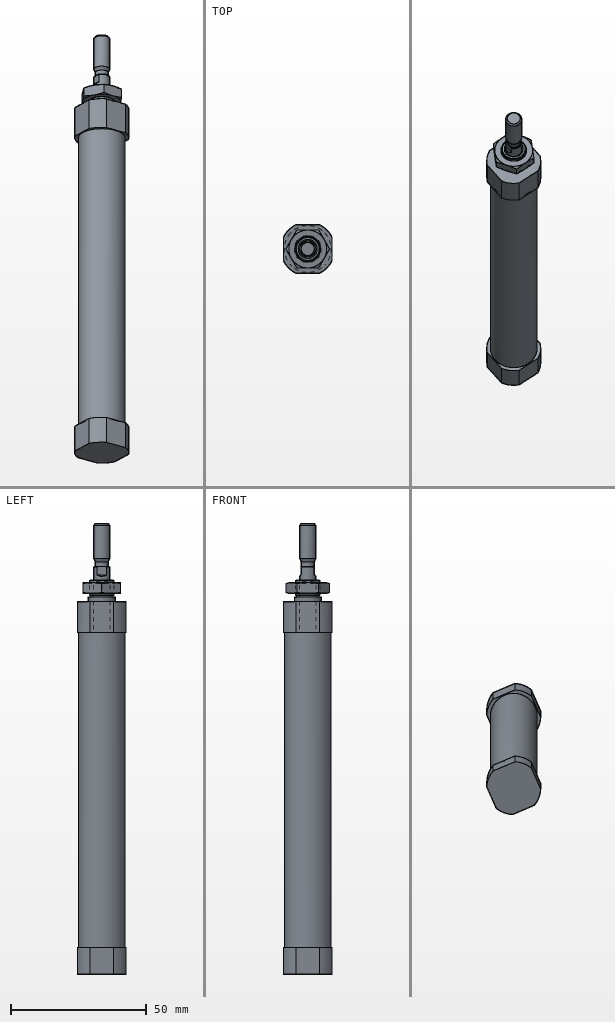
import cadquery as cq

TOTAL_HEIGHT = 166.1

CAP_WIDTH = 18.0
CAP_CORNER_DIAMETER = 20.0
REAR_CAP_HEIGHT = 10.0
FRONT_CAP_HEIGHT = 11.5
FRONT_CAP_TOP = 137.4
FRONT_CAP_BOTTOM = FRONT_CAP_TOP - FRONT_CAP_HEIGHT
BARREL_DIAMETER = 17.3

COLLAR_DIAMETER = 10.0
COLLAR_TOP = 139.0
NOSE_DIAMETER = 9.0
NOSE_TOP = 145.3
NOSE_CHAMFER = 0.25
RELIEF_DIAMETER = 8.5
RELIEF_HEIGHT = 0.5
ROD_COUNTERSINK_DIAMETER = 7.0

NUT_ACROSS_FLATS = 14.0
NUT_TURN = 30
NUT_THICKNESS = 4.0
NUT_BOTTOM = 140.4
NUT_FACE_DIAMETER = 14.0
NUT_CHAMFER_SLOPE = 0.36
NUT_COUNTERSINK_DIAMETER = 9.5

ROD_DIAMETER = 6.0
ROD_BOTTOM = FRONT_CAP_BOTTOM
ROD_TIP_DIAMETER = 4.8
ROD_TIP_CHAMFER_HEIGHT = 0.7
THREAD_BOTTOM = 153.3
NECK_DIAMETER = 4.8
NECK_TOP = 152.0
NECK_BOTTOM = 150.3
WRENCH_FLAT_WIDTH = 4.8
WRENCH_FLAT_BOTTOM = 146.7
NECK_EDGE_CHAMFER = 0.25


def cylinder(diameter, bottom, top):
    return cq.Workplane("XY").workplane(offset=bottom).circle(diameter / 2).extrude(top - bottom)


def revolved(profile):
    """Revolve (diameter, height) points, listed bottom to top, about the Z axis."""
    points = [(diameter / 2, height) for diameter, height in profile]
    outline = [(0, points[0][1])] + points + [(0, points[-1][1])]
    return cq.Workplane("XZ").polyline(outline).close().revolve(360, (0, 0), (0, 1))


def make_cap(bottom, height):
    """Square block whose corners are rounded about the cylinder axis."""
    block = cq.Workplane("XY").workplane(offset=bottom).rect(CAP_WIDTH, CAP_WIDTH).extrude(height)
    return block.intersect(cylinder(CAP_CORNER_DIAMETER, bottom, bottom + height))


def make_nose():
    """Collar, thread relief and chamfered threaded length that carry the nut."""
    relief_top = COLLAR_TOP + RELIEF_HEIGHT
    return revolved([
        (COLLAR_DIAMETER, FRONT_CAP_TOP),
        (COLLAR_DIAMETER, COLLAR_TOP),
        (RELIEF_DIAMETER, COLLAR_TOP),
        (RELIEF_DIAMETER, relief_top),
        (NOSE_DIAMETER, relief_top + (NOSE_DIAMETER - RELIEF_DIAMETER) / 2),
        (NOSE_DIAMETER, NOSE_TOP - NOSE_CHAMFER),
        (NOSE_DIAMETER - 2 * NOSE_CHAMFER, NOSE_TOP),
    ])


def make_housing():
    barrel = cylinder(BARREL_DIAMETER, REAR_CAP_HEIGHT, FRONT_CAP_BOTTOM)
    rear_cap = make_cap(0, REAR_CAP_HEIGHT)
    front_cap = make_cap(FRONT_CAP_BOTTOM, FRONT_CAP_HEIGHT)
    body = barrel.union(rear_cap).union(front_cap).union(make_nose())
    countersink_depth = (ROD_COUNTERSINK_DIAMETER - ROD_DIAMETER) / 2
    rod_bore = revolved([
        (ROD_DIAMETER, ROD_BOTTOM),
        (ROD_DIAMETER, NOSE_TOP - countersink_depth),
        (ROD_COUNTERSINK_DIAMETER, NOSE_TOP),
    ])
    return body.cut(rod_bore)


def make_nut():
    """Hexagon with corners along X, both faces chamfered by a cone."""
    nut_top = NUT_BOTTOM + NUT_THICKNESS
    hexagon = (
        cq.Workplane("XY")
        .workplane(offset=NUT_BOTTOM)
        .polygon(6, NUT_ACROSS_FLATS, circumscribed=True)
        .extrude(NUT_THICKNESS)
        .rotate((0, 0, 0), (0, 0, 1), NUT_TURN)
    )
    cone_rise = NUT_THICKNESS / 2
    cone_diameter = NUT_FACE_DIAMETER + 2 * cone_rise / NUT_CHAMFER_SLOPE
    chamfer_envelope = revolved([
        (NUT_FACE_DIAMETER, NUT_BOTTOM),
        (cone_diameter, NUT_BOTTOM + cone_rise),
        (NUT_FACE_DIAMETER, nut_top),
    ])
    countersink_depth = (NUT_COUNTERSINK_DIAMETER - NOSE_DIAMETER) / 2
    bore = revolved([
        (NUT_COUNTERSINK_DIAMETER, NUT_BOTTOM),
        (NOSE_DIAMETER, NUT_BOTTOM + countersink_depth),
        (NOSE_DIAMETER, nut_top - countersink_depth),
        (NUT_COUNTERSINK_DIAMETER, nut_top),
    ])
    return hexagon.intersect(chamfer_envelope).cut(bore)


def make_rod():
    """Rod with a threaded tip, an undercut neck and two wrench flats facing X."""
    rod = revolved([
        (ROD_DIAMETER, ROD_BOTTOM),
        (ROD_DIAMETER, NECK_BOTTOM - NECK_EDGE_CHAMFER),
        (ROD_DIAMETER - 2 * NECK_EDGE_CHAMFER, NECK_BOTTOM),
        (NECK_DIAMETER, NECK_BOTTOM),
        (NECK_DIAMETER, NECK_TOP),
        (ROD_DIAMETER, THREAD_BOTTOM),
        (ROD_DIAMETER, TOTAL_HEIGHT - ROD_TIP_CHAMFER_HEIGHT),
        (ROD_TIP_DIAMETER, TOTAL_HEIGHT),
    ])
    flat_x = WRENCH_FLAT_WIDTH / 2
    rod_x = ROD_DIAMETER / 2
    for side in (-1, 1):
        cutter = (
            cq.Workplane("XZ")
            .moveTo(side * flat_x, NECK_BOTTOM)
            .lineTo(side * flat_x, WRENCH_FLAT_BOTTOM + rod_x - flat_x)
            .lineTo(side * rod_x, WRENCH_FLAT_BOTTOM)
            .lineTo(side * rod_x, NECK_BOTTOM)
            .close()
            .extrude(rod_x, both=True)
        )
        rod = rod.cut(cutter)
    return rod


housing = make_housing()
nut = make_nut()
rod = make_rod()

result = cq.Compound.makeCompound([housing.val(), nut.val(), rod.val()])